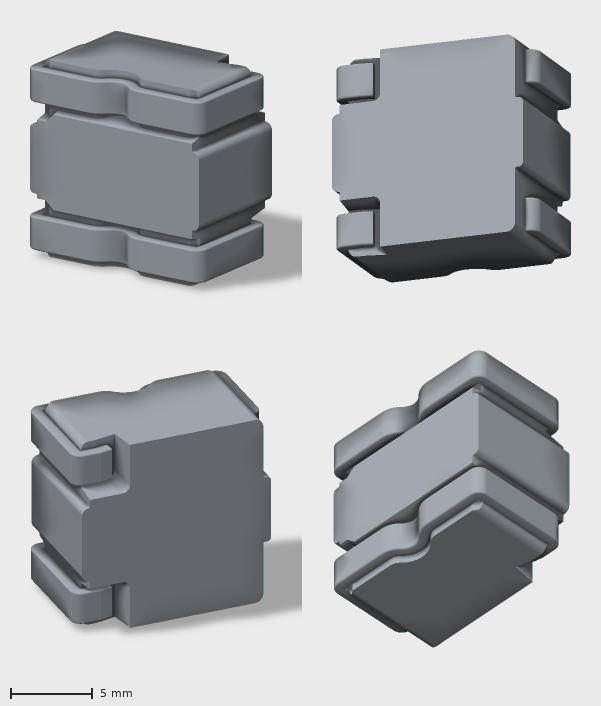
import cadquery as cq
import math


WIDTH = 13.0
DEPTH = 8.0
HEIGHT = 12.6

LEAD_THICKNESS = 0.73
LEAD_TOP = 5.84
LEAD_HEIGHT = 2.2
LEAD_EDGE_FILLET = 0.12
CROWN_RISE = 0.05
LEFT_BEND_START = 5.52
HOOK_INNER = 6.56
HOOK_MITRE = 4.76
HOOK_TIP_LENGTH = 0.77
HOOK_TILT = math.radians(11.5)
HOOK_INNER_MITRE = HOOK_MITRE + LEAD_THICKNESS / 2 * math.tan(HOOK_TILT / 2)

WAVE_HALF_WIDTH = 1.95
WAVE_DEPTH = 0.83
CREST_RADIUS = 1.05
WAVE_ANGLE = 2 * math.atan(WAVE_DEPTH / WAVE_HALF_WIDTH)
SHOULDER_RADIUS = WAVE_HALF_WIDTH / math.sin(WAVE_ANGLE) - CREST_RADIUS

WALL = WIDTH / 2 - LEAD_THICKNESS
CORNER_RADIUS = 0.55
RELIEF_DEPTH = 0.3
RELIEF_FLAT = 0.21
RELIEF_WIDTH = 0.56

BELT_SIDE = 6.29
BELT_LEFT_TOP = 2.22
BELT_LEFT_ROUND = 0.27
BELT_RIGHT_TOP = 2.48
BELT_RIGHT_ROUND = 0.43
BELT_ROOT_RADIUS = 0.1
BELT_FRONT = 0.2
NOSE_TOP = 3.05
NOSE_STEP_TOP = 2.52
NOSE_STEP_X = -5.14
NOSE_SHOULDER_X = -4.54
NOSE_LENGTH = 1.82
NOSE_DRAFT = 14.0

POCKET_INNER_X = 3.37
POCKET_REAR_X = 3.11
POCKET_FILLET = 0.5
POCKET_FLOOR_DRAFT = 11.0

CLEAR = 1.3


def wave(profile, offset):
    """Continue a path or outline through the wave, from -X to +X, offset behind the lead's front face."""
    crest = CREST_RADIUS + offset
    shoulder = SHOULDER_RADIUS - offset
    crest_center_y = WAVE_DEPTH - CREST_RADIUS

    def crest_point(angle):
        return (crest * math.sin(angle), crest_center_y + crest * math.cos(angle))

    def shoulder_point(side, angle):
        x = WAVE_HALF_WIDTH - shoulder * math.sin(angle)
        return (side * x, SHOULDER_RADIUS - shoulder * math.cos(angle))

    return (
        profile.lineTo(*shoulder_point(-1, 0))
        .threePointArc(shoulder_point(-1, WAVE_ANGLE / 2), crest_point(-WAVE_ANGLE))
        .threePointArc(crest_point(0), crest_point(WAVE_ANGLE))
        .threePointArc(shoulder_point(1, WAVE_ANGLE / 2), shoulder_point(1, 0))
    )


def make_lead_path():
    """Centre line of a lead: left wall, left leg, waved front, right leg and tilted hook."""
    half = LEAD_THICKNESS / 2
    leg_x = WALL + half
    mid = half * math.sqrt(0.5)
    hook_y = HOOK_INNER + half
    path = (
        cq.Workplane("XY")
        .moveTo(-WALL, LEFT_BEND_START + half)
        .threePointArc((-WALL - mid, LEFT_BEND_START + mid), (-leg_x, LEFT_BEND_START))
        .lineTo(-leg_x, LEAD_THICKNESS)
        .threePointArc((-WALL - mid, LEAD_THICKNESS - mid), (-WALL, half))
    )
    return (
        wave(path, half)
        .lineTo(WALL, half)
        .threePointArc((WALL + mid, LEAD_THICKNESS - mid), (leg_x, LEAD_THICKNESS))
        .lineTo(leg_x, HOOK_INNER)
        .threePointArc((WALL + mid, HOOK_INNER + mid), (WALL, hook_y))
        .lineTo(HOOK_MITRE, hook_y)
        .lineTo(
            HOOK_MITRE - HOOK_TIP_LENGTH * math.cos(HOOK_TILT),
            hook_y - HOOK_TIP_LENGTH * math.sin(HOOK_TILT),
        )
    )


def make_lead():
    """Upper lead: a strip with crowned, rounded edges, bent around the housing."""
    half = LEAD_THICKNESS / 2
    crown_z = LEAD_HEIGHT / 2
    side_z = crown_z - CROWN_RISE
    section = (
        cq.Workplane("YZ", origin=(-WALL, LEFT_BEND_START + half, 0))
        .moveTo(-half, -side_z)
        .threePointArc((0, -crown_z), (half, -side_z))
        .lineTo(half, side_z)
        .threePointArc((0, crown_z), (-half, side_z))
        .close()
        .val()
    )
    rounded = section.fillet2D(LEAD_EDGE_FILLET, section.Vertices())
    strip = cq.Workplane(rounded).toPending().sweep(make_lead_path(), transition="right")
    return strip.translate((0, 0, LEAD_TOP - crown_z))


def make_core():
    """Main block with rounded corners, its front shaped to the leads and stepped back at the sides."""
    block = (
        cq.Workplane("XZ")
        .rect(2 * WALL, HEIGHT)
        .extrude(-DEPTH)
        .edges("|Y")
        .fillet(CORNER_RADIUS)
    )
    relief_y = LEAD_THICKNESS + RELIEF_DEPTH
    flat_end = WALL - RELIEF_FLAT
    front = WALL - RELIEF_WIDTH
    outline = (
        cq.Workplane("XY", origin=(0, 0, -HEIGHT / 2))
        .moveTo(-WALL, DEPTH)
        .lineTo(-WALL, relief_y)
        .lineTo(-flat_end, relief_y)
        .lineTo(-front, LEAD_THICKNESS)
    )
    outline = (
        wave(outline, LEAD_THICKNESS)
        .lineTo(front, LEAD_THICKNESS)
        .lineTo(flat_end, relief_y)
        .lineTo(WALL, relief_y)
        .lineTo(WALL, DEPTH)
        .close()
    )
    return block.intersect(outline.extrude(HEIGHT))


def make_belt_side(side, top, round_radius):
    """Belt over one side wall (side is -1 or +1), rounded outside and blended into the wall."""
    root_x = WALL + BELT_ROOT_RADIUS
    root_z = top + BELT_ROOT_RADIUS
    root_mid = BELT_ROOT_RADIUS * math.sqrt(0.5)
    round_x = BELT_SIDE - round_radius
    round_z = top - round_radius
    round_mid = round_radius * math.sqrt(0.5)
    upper_half = (
        cq.Workplane("XZ", origin=(0, BELT_FRONT, 0))
        .moveTo(0, 0)
        .lineTo(0, root_z)
        .lineTo(side * WALL, root_z)
        .threePointArc((side * (root_x - root_mid), root_z - root_mid), (side * root_x, top))
        .lineTo(side * round_x, top)
        .threePointArc((side * (round_x + round_mid), round_z + round_mid), (side * BELT_SIDE, round_z))
        .lineTo(side * BELT_SIDE, 0)
        .close()
        .extrude(BELT_FRONT - DEPTH)
    )
    return upper_half.union(upper_half.mirror("XY"))


def make_nose():
    """Drafted front of the belt, between the leads, with a step down at the left."""
    reach = WALL + CLEAR
    upper = [
        (-reach, NOSE_STEP_TOP),
        (NOSE_STEP_X, NOSE_STEP_TOP),
        (NOSE_SHOULDER_X, NOSE_TOP),
        (reach, NOSE_TOP),
    ]
    lower = [(x, -z) for x, z in reversed(upper)]
    drafted = (
        cq.Workplane("XZ", origin=(0, BELT_FRONT, 0))
        .polyline(upper + lower)
        .close()
        .extrude(-NOSE_LENGTH, taper=-NOSE_DRAFT)
    )
    clip = cq.Workplane("XZ").rect(2 * WALL, HEIGHT).extrude(-DEPTH)
    return drafted.intersect(clip)


def make_pocket():
    """Cutter for the upper rear right pocket: drafted floor, blended into the wall at the left."""
    reach_x = BELT_SIDE + CLEAR
    corner_y = HOOK_INNER - (HOOK_INNER_MITRE - POCKET_INNER_X) * math.tan(HOOK_TILT)
    wall_slope = (POCKET_INNER_X - POCKET_REAR_X) / (DEPTH - corner_y)
    cut_height = HEIGHT / 2 + CLEAR
    room = (
        cq.Workplane("XY")
        .moveTo(reach_x, HOOK_INNER)
        .lineTo(HOOK_INNER_MITRE, HOOK_INNER)
        .lineTo(POCKET_INNER_X, corner_y)
        .lineTo(POCKET_REAR_X - wall_slope * CLEAR, DEPTH + CLEAR)
        .lineTo(reach_x, DEPTH + CLEAR)
        .close()
        .extrude(cut_height)
    )
    floor_slope = math.tan(math.radians(POCKET_FLOOR_DRAFT))
    above_floor = (
        cq.Workplane("YZ")
        .moveTo(0, NOSE_TOP + DEPTH * floor_slope)
        .lineTo(DEPTH + CLEAR, NOSE_TOP - CLEAR * floor_slope)
        .lineTo(DEPTH + CLEAR, cut_height)
        .lineTo(0, cut_height)
        .close()
        .extrude(reach_x)
    )
    wall_foot = cq.selectors.NearestToPointSelector((POCKET_REAR_X, DEPTH, NOSE_TOP))
    return room.intersect(above_floor).edges(wall_foot).fillet(POCKET_FILLET)


def make_housing():
    housing = (
        make_core()
        .union(make_belt_side(-1, BELT_LEFT_TOP, BELT_LEFT_ROUND))
        .union(make_belt_side(1, BELT_RIGHT_TOP, BELT_RIGHT_ROUND))
        .union(make_nose())
    )
    pocket = make_pocket()
    return housing.cut(pocket).cut(pocket.mirror("XY"))


housing = make_housing()
upper_lead = make_lead()
leads = [upper_lead, upper_lead.mirror("XY")]

result = cq.Compound.makeCompound([housing.val(), *[lead.val() for lead in leads]])